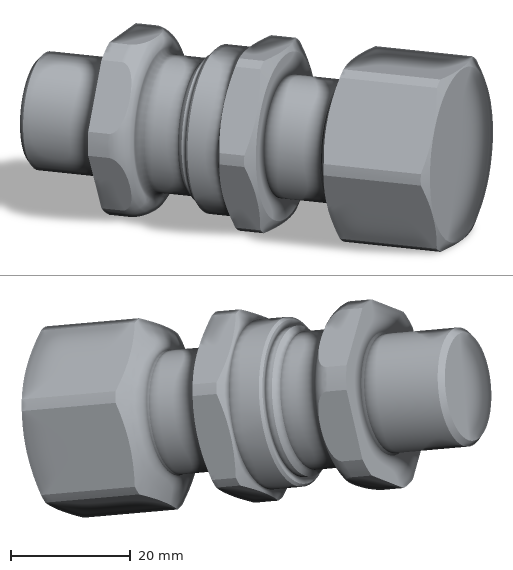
import cadquery as cq
import math


ACROSS_FLATS = 30.0
NUT_CORNER_R = 16.8
CONE_SLOPE = 2.2

TOTAL_LENGTH = 75.6
FLANGE_START = 14.9
FLANGE_END = 21.9
RING_START = 29.25
COLLAR_START = 31.5
LOCK_HEX_START = 37.5
STEM_START = 44.2
BACK_NUT_START = 54.5

THREAD_R = 20.0 / 2
THREAD_CHAMFER = 0.9
ROOT_FLARE = 0.4
FLANGE_CORNER_R = 32.5 / 2
FLANGE_ROUND = 3.4
NECK_R = 23.3 / 2
NECK_FILLET = FLANGE_CORNER_R - FLANGE_ROUND - NECK_R

RING_R = 25.4 / 2
COLLAR_R = 28.6 / 2
COLLAR_CHAMFER = 0.45
STEM_R = 20.9 / 2
STEM_FLARE_RISE = 0.15
BACK_NUT_END_R = 14.8


def hex_prism(start, end):
    """Hexagonal bar along X between two stations."""
    corner_diameter = ACROSS_FLATS / math.cos(math.pi / 6)
    return cq.Workplane("YZ", origin=(start, 0, 0)).polygon(6, corner_diameter).extrude(end - start)


def turned(points):
    """Solid of revolution about X from (x, radius) points, the first and last on the axis."""
    return cq.Workplane("XY").polyline(points).close().revolve(360, (0, 0, 0), (1, 0, 0))


def coned_hex(start, end, start_r, end_r):
    """Hexagon with cones turned on both ends, rising from the given end radii to the corners."""
    start_cone = (NUT_CORNER_R - start_r) / CONE_SLOPE
    end_cone = (NUT_CORNER_R - end_r) / CONE_SLOPE
    envelope = turned([
        (start, 0),
        (start, start_r),
        (start + start_cone, NUT_CORNER_R),
        (end - end_cone, NUT_CORNER_R),
        (end, end_r),
        (end, 0),
    ])
    return hex_prism(start, end).intersect(envelope)


def make_entry_body():
    """Threaded spigot, round-backed hexagonal flange and plain neck."""
    spigot = turned([
        (0, 0),
        (0, THREAD_R - THREAD_CHAMFER),
        (THREAD_CHAMFER, THREAD_R),
        (FLANGE_START - ROOT_FLARE, THREAD_R),
        (FLANGE_START, THREAD_R + ROOT_FLARE),
        (FLANGE_START, 0),
    ])
    diagonal = math.sqrt(0.5)
    round_start = FLANGE_END - FLANGE_ROUND
    round_center_r = FLANGE_CORNER_R - FLANGE_ROUND
    fillet_end = FLANGE_END + NECK_FILLET
    envelope = (
        cq.Workplane("XY")
        .moveTo(FLANGE_START, 0)
        .lineTo(FLANGE_START, FLANGE_CORNER_R)
        .lineTo(round_start, FLANGE_CORNER_R)
        .threePointArc(
            (round_start + FLANGE_ROUND * diagonal, round_center_r + FLANGE_ROUND * diagonal),
            (FLANGE_END, round_center_r),
        )
        .threePointArc(
            (fillet_end - NECK_FILLET * diagonal, round_center_r - NECK_FILLET * diagonal),
            (fillet_end, NECK_R),
        )
        .lineTo(RING_START, NECK_R)
        .lineTo(RING_START, 0)
        .close()
        .revolve(360, (0, 0, 0), (1, 0, 0))
    )
    return hex_prism(FLANGE_START, RING_START).intersect(envelope).union(spigot)


def make_seal_ring():
    """Disc between neck and collar, chamfered down to the neck."""
    chamfer = RING_R - NECK_R
    return turned([
        (RING_START, 0),
        (RING_START, NECK_R),
        (RING_START + chamfer, RING_R),
        (COLLAR_START, RING_R),
        (COLLAR_START, 0),
    ])


def make_lock_nut():
    """Round collar followed by a hexagon coned on both ends."""
    collar = turned([
        (COLLAR_START, 0),
        (COLLAR_START, COLLAR_R - COLLAR_CHAMFER),
        (COLLAR_START + COLLAR_CHAMFER, COLLAR_R),
        (LOCK_HEX_START, COLLAR_R),
        (LOCK_HEX_START, 0),
    ])
    return collar.union(coned_hex(LOCK_HEX_START, STEM_START, COLLAR_R, COLLAR_R))


def make_stem():
    """Plain cylinder between the nuts with a slight flare at the back nut."""
    return turned([
        (STEM_START, 0),
        (STEM_START, STEM_R),
        (BACK_NUT_START - ROOT_FLARE, STEM_R),
        (BACK_NUT_START, STEM_R + STEM_FLARE_RISE),
        (BACK_NUT_START, 0),
    ])


def make_back_nut():
    """Long hexagon: deep cone on the stem side, shallow cone on the far end."""
    return coned_hex(BACK_NUT_START, TOTAL_LENGTH, STEM_R + STEM_FLARE_RISE, BACK_NUT_END_R)


entry_body = make_entry_body()
seal_ring = make_seal_ring()
lock_nut = make_lock_nut()
stem = make_stem()
back_nut = make_back_nut()

result = cq.Compound.makeCompound([
    entry_body.val(),
    seal_ring.val(),
    lock_nut.val(),
    stem.val(),
    back_nut.val(),
])